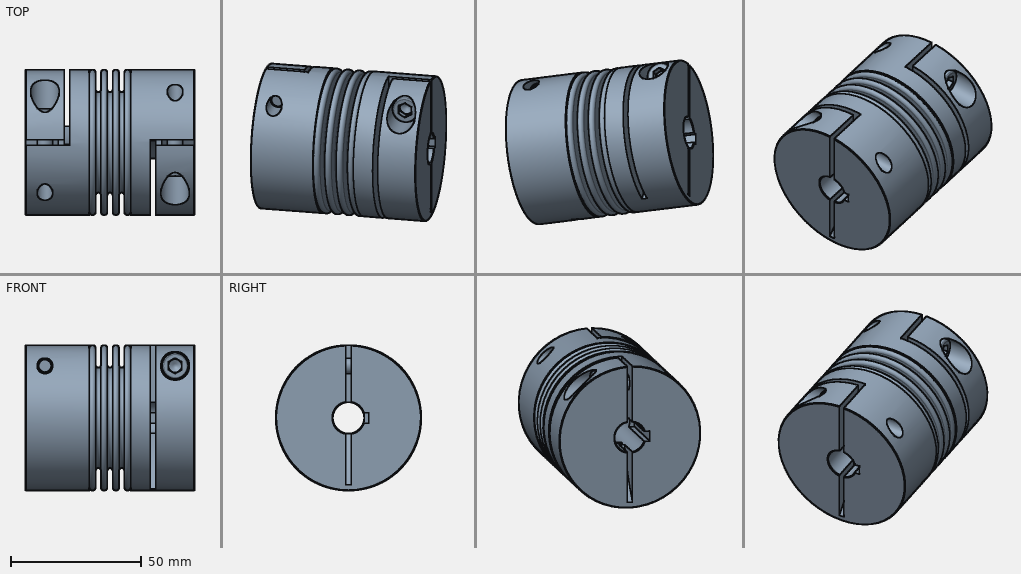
import cadquery as cq
import math

length = 65.0
outer_d = 56.0
outer_r = outer_d / 2
bellows_length = 16.0
hub_length = (length - bellows_length) / 2
edge_chamfer = 0.25

ridge_count = 4
ridge_width = 2.55
root_r = 19.4

bore_d = 12.0
bore_r = bore_d / 2
key_width = 3.95
key_reach = 7.85

slot_width = 2.0
saw_r = 55.0
cross_slot_x = 16.6
axial_saw_z = 13.0
cross_saw_z = 0.0

screw_x = 25.0
screw_z = 20.0
pocket_d = 11.0
shank_d = 6.0
head_d = 10.0
head_length = 6.0
head_face_y = -13.0
seat_y = head_face_y + head_length
head_rounding = 0.5
shank_length = 20.0
tip_chamfer = 0.6
socket_corner_d = 6.0
socket_depth = 3.0
socket_cone_depth = 1.3


def rod(diameter, y_start, y_end):
    """Cylinder on the screw axis of the +X hub, from y_start up to y_end."""
    return (
        cq.Workplane("XZ", origin=(screw_x, y_start, screw_z))
        .circle(diameter / 2)
        .extrude(y_start - y_end)
    )


def saw_cut(plane, mid_reach, saw_z):
    """Slot of a saw on a vertical plane, which enters from the negative
    side of local x, reaches mid_reach and runs out through the top."""
    centre = mid_reach - saw_r
    disc = plane.center(centre, saw_z).circle(saw_r).extrude(slot_width / 2, both=True)
    run_out = (
        plane.center(centre, saw_z + outer_r)
        .rect(2 * saw_r, 2 * outer_r)
        .extrude(slot_width / 2, both=True)
    )
    return disc.union(run_out)


def body():
    """Both hubs and the bellows as one turned profile around the bore."""
    ridge_r = ridge_width / 2
    pitch = (bellows_length - ridge_width) / (ridge_count - 1)
    groove_r = (pitch - ridge_width) / 2
    bellows_x = bellows_length / 2
    end_x = length / 2

    profile = (
        cq.Workplane("XZ")
        .moveTo(-end_x + edge_chamfer, bore_r)
        .lineTo(-end_x, bore_r + edge_chamfer)
        .lineTo(-end_x, outer_r - edge_chamfer)
        .lineTo(-end_x + edge_chamfer, outer_r)
        .lineTo(-bellows_x, outer_r)
        .lineTo(-bellows_x, outer_r - ridge_r)
    )
    for i in range(ridge_count):
        mid_x = -bellows_x + ridge_r + i * pitch
        right_x = mid_x + ridge_r
        profile = profile.threePointArc((mid_x, outer_r), (right_x, outer_r - ridge_r))
        if i < ridge_count - 1:
            profile = (
                profile.lineTo(right_x, root_r + groove_r)
                .threePointArc(
                    (right_x + groove_r, root_r),
                    (right_x + 2 * groove_r, root_r + groove_r),
                )
                .lineTo(right_x + 2 * groove_r, outer_r - ridge_r)
            )
    profile = (
        profile.lineTo(bellows_x, outer_r)
        .lineTo(end_x - edge_chamfer, outer_r)
        .lineTo(end_x, outer_r - edge_chamfer)
        .lineTo(end_x, bore_r + edge_chamfer)
        .lineTo(end_x - edge_chamfer, bore_r)
        .close()
    )
    return profile.revolve(360, (0, 0, 0), (1, 0, 0))


def hub_cuts():
    """Everything removed from the +X hub."""
    keyway = cq.Workplane("XY", origin=(bellows_length / 2, 0, 0)).box(
        hub_length, key_reach, key_width, centered=(False, False, True)
    )
    axial_plane = cq.Workplane(cq.Plane((0, 0, 0), (-1, 0, 0), (0, 1, 0)))
    cross_plane = cq.Workplane(cq.Plane((cross_slot_x, 0, 0), (0, 1, 0), (1, 0, 0)))
    axial_slot = saw_cut(axial_plane, -cross_slot_x, axial_saw_z)
    cross_slot = saw_cut(cross_plane, slot_width / 2, cross_saw_z)
    pocket = rod(pocket_d, -outer_r, seat_y)
    screw_hole = rod(shank_d, seat_y, outer_r)
    return keyway.union(axial_slot).union(cross_slot).union(pocket).union(screw_hole)


def screw():
    """Socket head screw of the +X hub, with its head towards -Y."""
    tip_y = seat_y + shank_length
    head = rod(head_d, head_face_y, seat_y).faces("<Y").edges().fillet(head_rounding)
    shank = rod(shank_d, seat_y, tip_y).faces(">Y").chamfer(tip_chamfer)
    socket = (
        cq.Workplane("XZ", origin=(screw_x, head_face_y, screw_z))
        .transformed(rotate=(0, 0, 90))
        .polygon(6, socket_corner_d)
        .extrude(-socket_depth)
    )
    across_flats = socket_corner_d * math.cos(math.pi / 6)
    cone = cq.Workplane(
        cq.Solid.makeCone(
            across_flats / 2,
            0,
            socket_cone_depth,
            pnt=(screw_x, head_face_y + socket_depth, screw_z),
            dir=(0, 1, 0),
        )
    )
    return head.union(shank).cut(socket).cut(cone)


def turned_half(shape):
    """The same shape moved to the -X hub by half a turn about Z."""
    return shape.rotate((0, 0, 0), (0, 0, 1), 180)


result = body()
cuts = hub_cuts()
clamp_screw = screw()
for feature in (cuts, turned_half(cuts)):
    result = result.cut(feature)
for feature in (clamp_screw, turned_half(clamp_screw)):
    result = result.union(feature)